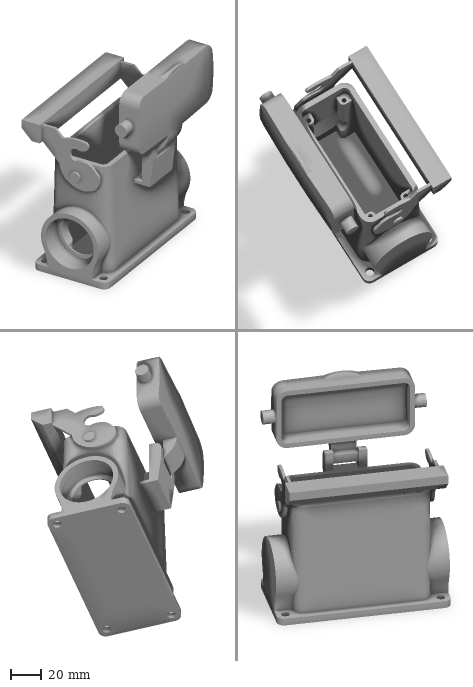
import cadquery as cq
import math


shell_length = 93.3
shell_top_width = 43.2
shell_foot_width = 47.5
shell_height = 84.0
collar_height = 5.0
collar_z = shell_height - collar_height
wall = 3.6
shell_corner = 7.5
cavity_floor_z = 2.5

flange_width = 56.8
flange_length = 117.0
flange_thickness = 5.0
flange_corner = 5.0
mount_hole_dia = 5.8
mount_hole_x = 22.3
mount_hole_y = 52.3

entry_z = 27.2
entry_radius = 22.0
entry_foot_width = 34.0
entry_flare_radius = 33.0
entry_bore_dia = 29.8
entry_recess_dia = 37.0
entry_recess_depth = 14.5

post_pitch_x = 27.0
post_pitch_y = 77.5
post_hole_dia = 3.1
post_hole_depth = 12.0
post_reach_x = 3.4
post_reach_y = 2.8
post_corner = 2.8
post_top_z = 72.0

bracket_width = 28.2
bracket_front_x = 28.8
bracket_back_x = 37.2
bracket_foot_back_x = 34.8
bracket_bottom_z = 58.6
bracket_top_z = 93.1
bracket_top_round = 5.0
bracket_ledge = 2.3
bracket_root_x = shell_top_width / 2 - wall / 2
web_thickness = 6.2
web_fillet = 3.9
slot_width = 17.2

lid_rim_x = 30.9
lid_crown_x = 47.98
lid_centre_z = 120.9
lid_height = 43.0
lid_wall = 3.4
lid_crown_rise_z = 1.5
lid_crown_rise_y = 1.1
lid_back_thickness = 3.0
lid_peg_dia = 9.2
lid_peg_x = 37.1
lid_peg_span = 110.0
lid_bottom_z = lid_centre_z - lid_height / 2
lid_top_z = lid_centre_z + lid_height / 2

grip_width = 24.4
grip_rise = 2.16
grip_back_x = 46.1
grip_crest_x = 43.9
grip_toe_x = 39.9

tongue_front_x = 36.5
tongue_back_x = 46.0
tongue_round = 17.5
knuckle_front_x = 31.2
knuckle_top_z = 89.9
knuckle_bottom_z = 83.5

lever_span = 107.0
handle_back_x = -40.0
handle_front_x = -25.9
handle_top_z = 106.6
handle_bottom_z = 92.8
handle_chamfer_x = 7.9
handle_chamfer_z = 7.7
arm_thickness = 2.0
arm_root_x = handle_front_x - 2.0
arm_root_top_z = 105.5
arm_root_bottom_z = 93.6
seat_z = 90.2
seat_radius = 4.6
finger_tip_x = 9.4
finger_tip_z = 97.9
finger_tip_rise = 3.2
finger_tip_drop = 2.6
finger_tip_run = 1.9
lobe_front_x = 17.8
lobe_top_z = 86.5
lobe_bottom_z = 64.8
lobe_middle_x = 5.6
arm_outer_y = 50.7
arm_inner_y = arm_outer_y - arm_thickness
pivot_z = 74.0
pivot_shank_dia = 5.2
pivot_head_dia = 7.4
pivot_head_height = 1.7


def rounded_prism(width, length, radius, bottom_z, top_z):
    """An upright block with rounded vertical corners."""
    block = cq.Workplane("XY").workplane(offset=bottom_z).rect(width, length).extrude(top_z - bottom_z)
    return block.edges("|Z").fillet(radius)


def shell_width_at(z):
    """Outer width of the shell, which tapers evenly below the collar."""
    share = min(1.0, (z - flange_thickness) / (collar_z - flange_thickness))
    return shell_foot_width + share * (shell_top_width - shell_foot_width)


def tapered_block(inset, bottom_z):
    """The shell's outer form, drawn in by the inset on its four sides."""
    length = shell_length - 2 * inset
    radius = shell_corner - inset

    def section(z):
        return cq.Sketch().rect(shell_width_at(z) - 2 * inset, length).vertices().fillet(radius)

    upper = rounded_prism(shell_top_width - 2 * inset, length, radius, collar_z, shell_height)
    lower = cq.Workplane("XY").workplane(offset=bottom_z).placeSketch(
        section(bottom_z),
        section(collar_z).moved(cq.Location(cq.Vector(0, 0, collar_z - bottom_z))),
    ).loft(ruled=True)
    return lower.union(upper)


def make_entries():
    """Round cable entry at each end, standing on a flared foot."""
    foot_half = entry_foot_width / 2
    flare_x = foot_half + entry_flare_radius
    centre_distance = entry_radius + entry_flare_radius
    flare_drop = math.sqrt(centre_distance**2 - flare_x**2)
    flare_z = entry_z - flare_drop
    join_x = flare_x * entry_radius / centre_distance
    join_z = entry_z - flare_drop * entry_radius / centre_distance
    middle = (math.pi + math.atan2(join_z - flare_z, join_x - flare_x)) / 2
    middle_x = flare_x + entry_flare_radius * math.cos(middle)
    middle_z = flare_z + entry_flare_radius * math.sin(middle)
    profile = (
        cq.Workplane("XZ").workplane(offset=-flange_length / 2)
        .moveTo(-foot_half, flare_z)
        .threePointArc((-middle_x, middle_z), (-join_x, join_z))
        .threePointArc((0, entry_z + entry_radius), (join_x, join_z))
        .threePointArc((middle_x, middle_z), (foot_half, flare_z))
        .lineTo(foot_half, 0).lineTo(-foot_half, 0).close()
    )
    return profile.extrude(flange_length)


def cut_entry_bore(body):
    """Recessed bore through the -Y entry; the other entry stays blind."""
    axis = cq.Workplane("XZ").workplane(offset=flange_length / 2).center(0, entry_z)
    recess = axis.circle(entry_recess_dia / 2).extrude(-entry_recess_depth)
    bore_depth = flange_length / 2 - post_pitch_y / 2 + post_reach_y
    bore = axis.circle(entry_bore_dia / 2).extrude(-bore_depth)
    return body.cut(recess).cut(bore)


def make_posts(cavity):
    """Screw posts in the cavity corners, with their blind screw holes."""
    span_x = post_pitch_x - 2 * post_reach_x
    span_y = post_pitch_y - 2 * post_reach_y
    height = post_top_z - cavity_floor_z
    base = cq.Workplane("XY").workplane(offset=cavity_floor_z)
    size_x = (shell_foot_width - span_x) / 2
    size_y = (shell_length - span_y) / 2
    posts = (
        base.rect(span_x + size_x, span_y + size_y, forConstruction=True).vertices()
        .rect(size_x, size_y).extrude(height)
        .edges("|Z").fillet(post_corner).intersect(cavity)
    )
    holes = (
        cq.Workplane("XY").workplane(offset=post_top_z - post_hole_depth)
        .rect(post_pitch_x, post_pitch_y, forConstruction=True).vertices()
        .circle(post_hole_dia / 2).extrude(post_hole_depth)
    )
    return posts.cut(holes)


def make_bracket():
    """Hinge bracket: ledge, web with hollow fillets, and a plate slotted into two ears."""
    ledge_z = bracket_bottom_z + bracket_ledge
    depth = bracket_front_x - bracket_root_x
    web_half = web_thickness / 2
    foot_half = web_half + web_fillet
    turn = web_fillet * (1 - math.sqrt(0.5))
    web = (
        cq.Workplane("YZ").workplane(offset=bracket_root_x)
        .moveTo(-foot_half, bracket_bottom_z).lineTo(-foot_half, ledge_z)
        .threePointArc((-web_half - turn, ledge_z + turn), (-web_half, ledge_z + web_fillet))
        .lineTo(-web_half, collar_z).lineTo(web_half, collar_z).lineTo(web_half, ledge_z + web_fillet)
        .threePointArc((web_half + turn, ledge_z + turn), (foot_half, ledge_z))
        .lineTo(foot_half, bracket_bottom_z).close().extrude(depth)
    )
    round_turn = bracket_top_round * (1 - math.sqrt(0.5))
    plate = (
        cq.Workplane("XZ").workplane(offset=-bracket_width / 2)
        .moveTo(bracket_root_x, bracket_bottom_z).lineTo(bracket_root_x, ledge_z)
        .lineTo(bracket_front_x, ledge_z).lineTo(bracket_front_x, bracket_top_z)
        .lineTo(bracket_back_x - bracket_top_round, bracket_top_z)
        .threePointArc(
            (bracket_back_x - round_turn, bracket_top_z - round_turn),
            (bracket_back_x, bracket_top_z - bracket_top_round),
        )
        .lineTo(bracket_back_x, collar_z).lineTo(bracket_foot_back_x, bracket_bottom_z)
        .close().extrude(bracket_width)
    )
    slot = cq.Workplane("XY").workplane(offset=collar_z).center(bracket_back_x, 0)
    slot = slot.rect(2 * (bracket_back_x - bracket_front_x), slot_width).extrude(bracket_top_z - collar_z)
    return plate.cut(slot).union(web)


def crown(peak_x):
    """Block from the lid rim to a back that bulges both along and across the lid."""
    half_height = lid_height / 2
    half_length = shell_length / 2
    axis_distance = (half_length**2 + lid_crown_rise_y**2) / (2 * lid_crown_rise_y)
    axis_x = peak_x - axis_distance
    shoulder_x = peak_x - lid_crown_rise_z
    profile = (
        cq.Workplane("XZ").moveTo(axis_x, lid_bottom_z).lineTo(shoulder_x, lid_bottom_z)
        .threePointArc((peak_x, lid_centre_z), (shoulder_x, lid_top_z))
        .lineTo(axis_x, lid_top_z).close()
    )
    return profile.revolve(360, (axis_x, 0, 0), (axis_x, 1, 0))


def lid_block(inset, peak_x):
    """Rounded lid form drawn in by the inset, closed by the crowned back."""
    block = (
        cq.Workplane("YZ").workplane(offset=lid_rim_x).center(0, lid_centre_z)
        .rect(shell_length - 2 * inset, lid_height - 2 * inset).extrude(lid_crown_x - lid_rim_x)
        .edges("|X").fillet(shell_corner - inset)
    )
    return block.intersect(crown(peak_x))


def make_grip():
    """Low segment on the lid's top edge with a hollow thumb face."""
    root_z = lid_top_z - lid_wall / 2
    half = grip_width / 2
    run = grip_crest_x - grip_toe_x
    hollow_radius = (run**2 + grip_rise**2) / (2 * grip_rise)
    segment = (
        cq.Workplane("YZ").workplane(offset=grip_toe_x)
        .moveTo(-half, root_z).lineTo(-half, lid_top_z)
        .threePointArc((0, lid_top_z + grip_rise), (half, lid_top_z))
        .lineTo(half, root_z).close().extrude(grip_back_x - grip_toe_x)
    )
    hollow = (
        cq.Workplane("XZ").workplane(offset=-half)
        .center(grip_toe_x, lid_top_z + hollow_radius).circle(hollow_radius).extrude(grip_width)
    )
    return segment.cut(hollow)


def make_tongue():
    """Tongue under the lid with the knuckle that sits between the bracket ears."""
    turn = tongue_round * (1 - math.sqrt(0.5))
    half_sweep = math.radians(45) / 2
    slope_x = tongue_back_x - turn
    slope_z = lid_bottom_z - tongue_round * math.sqrt(0.5)
    knuckle_back_x = slope_x - (slope_z - knuckle_bottom_z)
    profile = (
        cq.Workplane("XZ").workplane(offset=-slot_width / 2)
        .moveTo(tongue_front_x, lid_bottom_z + lid_wall / 2)
        .lineTo(tongue_back_x, lid_bottom_z + lid_wall / 2).lineTo(tongue_back_x, lid_bottom_z)
        .threePointArc(
            (
                tongue_back_x - tongue_round * (1 - math.cos(half_sweep)),
                lid_bottom_z - tongue_round * math.sin(half_sweep),
            ),
            (slope_x, slope_z),
        )
        .lineTo(knuckle_back_x, knuckle_bottom_z).lineTo(knuckle_front_x, knuckle_bottom_z)
        .lineTo(knuckle_front_x, knuckle_top_z).lineTo(tongue_front_x, knuckle_top_z).close()
    )
    return profile.extrude(slot_width)


def make_lid():
    """Open lid with its locking pegs, grip and hinge tongue."""
    pegs = (
        cq.Workplane("XZ").workplane(offset=-lid_peg_span / 2)
        .center(lid_peg_x, lid_centre_z).circle(lid_peg_dia / 2).extrude(lid_peg_span)
    )
    outer = lid_block(0, lid_crown_x).union(pegs).union(make_grip()).union(make_tongue())
    return outer.cut(lid_block(lid_wall, lid_crown_x - lid_back_thickness))


def make_housing():
    """Housing casting with its hinge bracket and the lid hanging in it."""
    flange = rounded_prism(flange_width, flange_length, flange_corner, 0, flange_thickness)
    cavity = tapered_block(wall, cavity_floor_z)
    body = flange.union(make_entries()).union(tapered_block(0, flange_thickness))
    body = body.union(make_bracket()).cut(cavity).union(make_posts(cavity))
    mount_holes = (
        cq.Workplane("XY").rect(2 * mount_hole_x, 2 * mount_hole_y, forConstruction=True).vertices()
        .circle(mount_hole_dia / 2).extrude(flange_thickness)
    )
    return cut_entry_bore(body.cut(mount_holes)).union(make_lid())


def make_arm(outer_y):
    """Flat lever arm with the hook that catches a lid peg; it lies just below outer_y in Y."""
    finger_x = finger_tip_x - finger_tip_run
    outline = (
        cq.Workplane("XZ").workplane(offset=-outer_y)
        .moveTo(arm_root_x, arm_root_top_z).lineTo(-15.9, arm_root_top_z).lineTo(-10.2, 99.7)
        .threePointArc((0, 101.7), (finger_x, finger_tip_z + finger_tip_rise))
        .threePointArc((finger_tip_x, finger_tip_z), (finger_x, finger_tip_z - finger_tip_drop))
        .threePointArc((5.2, 94.4), (2.2, 94.2))
        .threePointArc((-seat_radius, seat_z), (0, seat_z - seat_radius))
        .threePointArc((lobe_middle_x, lobe_top_z), (12.3, 84.2))
        .lineTo(17.0, 79.0)
        .threePointArc((lobe_front_x, pivot_z), (14.5, 67.7))
        .threePointArc((lobe_middle_x, lobe_bottom_z), (-5.0, 68.0))
        .threePointArc((-10.3, 73.2), (-12.6, 80.4))
        .lineTo(handle_front_x, arm_root_bottom_z).lineTo(arm_root_x, arm_root_bottom_z).close()
    )
    return outline.extrude(arm_thickness)


def make_pivot(side):
    """Headed pivot from the housing end wall out through an arm; side is +1 or -1 in Y."""
    start_y = side * shell_length / 2
    axis = cq.Workplane("XZ").workplane(offset=-start_y).center(0, pivot_z)
    shank = axis.circle(pivot_shank_dia / 2).extrude(-side * (arm_outer_y - shell_length / 2))
    head_axis = cq.Workplane("XZ").workplane(offset=-side * arm_outer_y).center(0, pivot_z)
    return shank.union(head_axis.circle(pivot_head_dia / 2).extrude(-side * pivot_head_height))


def make_lever():
    """Locking lever: handle bar, two arms and their pivots."""
    lever = (
        cq.Workplane("XZ").workplane(offset=-lever_span / 2)
        .moveTo(handle_back_x, handle_top_z).lineTo(handle_front_x, handle_top_z)
        .lineTo(handle_front_x, handle_bottom_z)
        .lineTo(handle_back_x + handle_chamfer_x, handle_bottom_z)
        .lineTo(handle_back_x, handle_bottom_z + handle_chamfer_z).close().extrude(lever_span)
    )
    for outer_y in (arm_outer_y, -arm_inner_y):
        lever = lever.union(make_arm(outer_y))
    for side in (1, -1):
        lever = lever.union(make_pivot(side))
    return lever


housing = make_housing()
lever = make_lever()

result = cq.Compound.makeCompound([housing.solids().val(), lever.solids().val()])